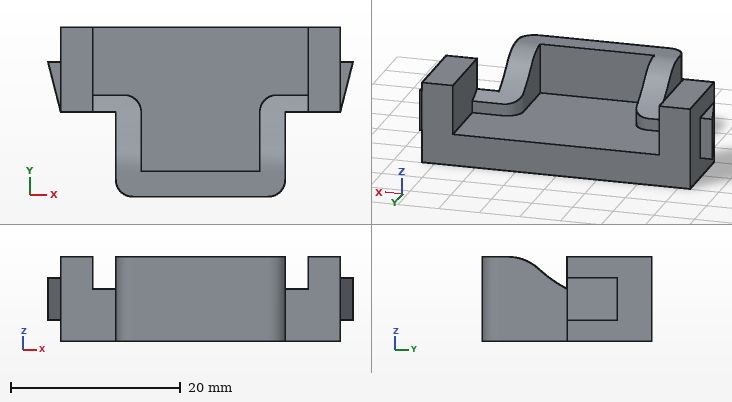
import cadquery as cq
import math


height = 10.0
bar_width = 33.0
bar_depth = 10.0
nose_width = 20.0
nose_length = 10.0
nose_corner_radius = 2.0

floor_height = 3.9
ear_width = 3.8
front_wall = 3.0
side_wall = 3.0
shoulder_wall = 2.0
shoulder_radius = 2.0
recess_half_width = bar_width / 2 - ear_width
recess_nose_half_width = nose_width / 2 - side_wall
recess_front = front_wall - nose_length

crest_run = 3.67
crest_angle = math.radians(43)
dip_end_angle = math.radians(19)
dip_run = shoulder_wall - (recess_front + crest_run)

barb_projection = 1.5
barb_length = 5.9
barb_height = 5.0


def make_block():
    bar = cq.Workplane("XY").box(bar_width, bar_depth, height, centered=(True, False, False))
    nose = (
        cq.Workplane("XY")
        .box(nose_width, nose_length, height, centered=(True, False, False))
        .translate((0, -nose_length, 0))
        .edges("|Z and <Y")
        .fillet(nose_corner_radius)
    )
    return bar.union(nose)


def make_recess():
    """T-shaped pocket, open at the back, with rounded corners at the shoulders."""
    outline = [
        (-recess_half_width, bar_depth),
        (-recess_half_width, shoulder_wall),
        (-recess_nose_half_width, shoulder_wall),
        (-recess_nose_half_width, recess_front),
        (recess_nose_half_width, recess_front),
        (recess_nose_half_width, shoulder_wall),
        (recess_half_width, shoulder_wall),
        (recess_half_width, bar_depth),
    ]
    margin = shoulder_radius / 2
    shoulder_corners = cq.selectors.BoxSelector(
        (-recess_nose_half_width - margin, shoulder_wall - margin, floor_height),
        (recess_nose_half_width + margin, shoulder_wall + margin, height),
    )
    return (
        cq.Workplane("XY", origin=(0, 0, floor_height))
        .polyline(outline)
        .close()
        .extrude(height - floor_height)
        .edges(shoulder_corners)
        .edges("|Z")
        .fillet(shoulder_radius)
    )


def make_wall_relief():
    """Material above the S-shaped wall top, between the ears."""
    crest_radius = crest_run / math.sin(crest_angle)

    def crest_point(angle):
        return (
            recess_front + crest_radius * math.sin(angle),
            height - crest_radius * (1 - math.cos(angle)),
        )

    inflection_y, inflection_z = crest_point(crest_angle)
    dip_radius = dip_run / (math.sin(crest_angle) - math.sin(dip_end_angle))

    def dip_point(angle):
        return (
            inflection_y + dip_radius * (math.sin(crest_angle) - math.sin(angle)),
            inflection_z - dip_radius * (math.cos(angle) - math.cos(crest_angle)),
        )

    return (
        cq.Workplane("YZ", origin=(-recess_half_width, 0, 0))
        .moveTo(recess_front, height)
        .threePointArc(crest_point(crest_angle / 2), (inflection_y, inflection_z))
        .threePointArc(dip_point((crest_angle + dip_end_angle) / 2), dip_point(dip_end_angle))
        .lineTo(shoulder_wall, height)
        .close()
        .extrude(2 * recess_half_width)
    )


def make_barb():
    """Wedge on the +X face, flush at the front and widest at its rear step."""
    face = bar_width / 2
    return (
        cq.Workplane("XY", origin=(0, 0, (height - barb_height) / 2))
        .polyline([(face, 0), (face + barb_projection, barb_length), (face, barb_length)])
        .close()
        .extrude(barb_height)
    )


right_barb = make_barb()
left_barb = right_barb.mirror("YZ")
body = make_block().union(right_barb).union(left_barb)
result = body.cut(make_recess()).cut(make_wall_relief())